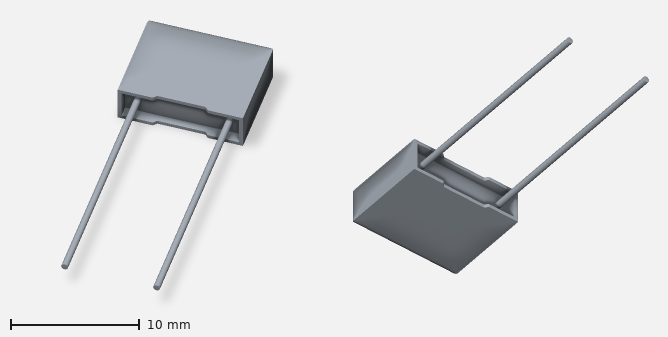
import cadquery as cq

total_length = 26.1
case_width = 10.2
case_height = 3.1
case_length = 8.12

wall = 0.31
end_fillet = 0.5
notch_mouth_width = 4.5
notch_depth = 0.3
fill_recess = 0.9

lead_diameter = 0.55
lead_pitch = 7.5

back_y = total_length / 2
mouth_y = back_y - case_length
fill_face_y = mouth_y + fill_recess
lead_tip_y = -total_length / 2
fill_width = case_width - 2 * wall
fill_height = case_height - 2 * wall
fill_length = case_length - wall - fill_recess


def block_along_y(width, height, start_y, length):
    """Rectangular block centred on the Y axis, running from start_y towards +Y."""
    return cq.Workplane("XY").box(width, length, height).translate((0, start_y + length / 2, 0))


def make_notch():
    """Tapered relief through the top and bottom walls at the open mouth."""
    half_mouth = notch_mouth_width / 2
    half_root = half_mouth - notch_depth
    root_y = mouth_y + notch_depth
    return (
        cq.Workplane("XY")
        .polyline([(-half_mouth, mouth_y), (half_mouth, mouth_y), (half_root, root_y), (-half_root, root_y)])
        .close()
        .extrude(case_height / 2, both=True)
    )


def make_case():
    """Open box with a rounded closed end and notched mouth."""
    shell = block_along_y(case_width, case_height, mouth_y, case_length)
    shell = shell.faces(">Y").edges().fillet(end_fillet)
    cavity = block_along_y(fill_width, fill_height, mouth_y, case_length - wall)
    return shell.cut(cavity).cut(make_notch())


def make_lead(x):
    """Straight round wire that ends flush against the fill face."""
    length = fill_face_y - lead_tip_y
    return (
        cq.Workplane("XZ", origin=(x, fill_face_y, 0))
        .circle(lead_diameter / 2)
        .extrude(length)
    )


case = make_case()
fill = block_along_y(fill_width, fill_height, fill_face_y, fill_length)
leads = [make_lead(side * lead_pitch / 2) for side in (-1, 1)]

result = cq.Compound.makeCompound([case.val(), fill.val(), *[lead.val() for lead in leads]])